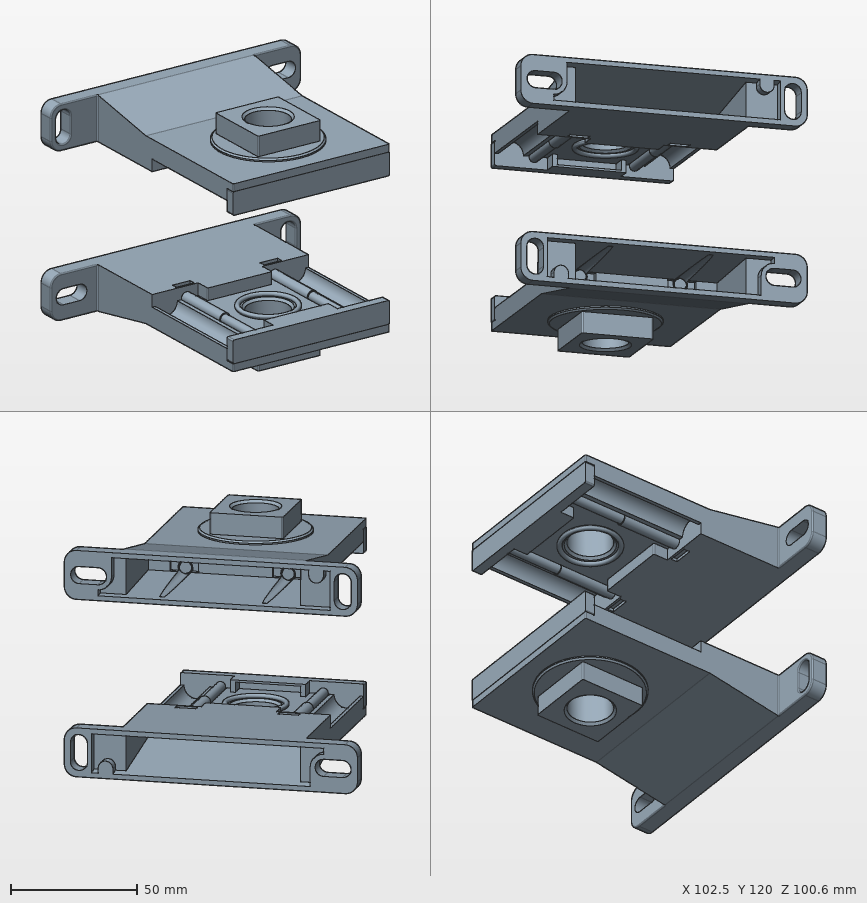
import cadquery as cq
HALF_TURN = 180

PLATE_TOP_Z = 40.2
FLOOR_Z = 31.7
BODY_BOTTOM_Z = 26.3
BOSS_TOP_Z = 50.3

BLEND_RADIUS = 0.5
CORNER_SEARCH = 0.1

FLANGE_LENGTH = 120
FLANGE_HEIGHT = 20.0
FLANGE_THICKNESS = 7.0
FLANGE_CORNER_RADIUS = 5.0
FLANGE_MID_Z = BODY_BOTTOM_Z + FLANGE_HEIGHT / 2
FLANGE_TOP_Z = BODY_BOTTOM_Z + FLANGE_HEIGHT

SLOT_LENGTH = 14.6
SLOT_WIDTH = 7.0
FLAT_SLOT_Y = 50.0
UPRIGHT_SLOT_Y = -54

RECESS_DEPTH = 4.2
RECESS_WALL = 2.0
RECESS_TOP_Z = FLANGE_TOP_Z - RECESS_WALL
RECESS_BOTTOM_Z = BODY_BOTTOM_Z + RECESS_WALL
RECESS_END_Y = -48.8
SLOT_RIM_RADIUS = 5.5
SLOT_END_Y = FLAT_SLOT_Y - (SLOT_LENGTH - SLOT_WIDTH) / 2
KEY_WIDTH = 6
KEY_Y = -43.1
KEY_HEIGHT = 5.2

OVERALL_X = 102.5
BODY_WIDTH = 75.0
WEDGE_END_X = 40.9
DEEP_END_X = 45.4
TONGUE_END_X = 52.1
TONGUE_WIDTH = 30.8

HOLLOW_WIDTH = 71.4
HOLLOW_END_X = 39.6
HOLLOW_END_TOP_Z = 38.4
HOLLOW_END_BOTTOM_Z = 29.9

PIN_SPREAD = 21.0
PIN_Z = 31.3
PIN_DIAMETER = 5.0
PIN_TIP_DIAMETER = 4.1
PIN_STEP_X = 72.4
PIN_CLEARANCE_DIAMETER = 6
PIN_CLEARANCE_DEPTH = 1.2
POCKET_WIDTH = 11.8
POCKET_TOP_Z = 37.5
POCKET_DEPTH = 2.0
POCKET_BOTTOM_Z = 30
POCKET_END_X = HOLLOW_END_X + POCKET_DEPTH
CLIP_SLOT_WIDTH = 8.4
CLIP_SLOT_LENGTH = 2.8
CLIP_SLOT_DEPTH = 1.5

TROUGH_DIAMETER = 10.5
TROUGH_SPREAD = 30.7

CAP_THICKNESS = 4.3
CAP_BOTTOM_Z = 26.6
CAP_TOP_Z = 36.8
CAP_CORNER_RADIUS = 0.6
CAP_START_X = OVERALL_X - CAP_THICKNESS
CAP_BLOCK_LENGTH = 6.4
CAP_LEG_WIDTH = 2.0
CAP_LIP = 0.8

BUSHING_X = 72
BOSS_SIDE = 30
BOSS_CORNER_RADIUS = 0.6
DISC_DIAMETER = 46.0
DISC_TOP_Z = 41.5
DISC_CHAMFER = 0.7
BORE_DIAMETER = 18.6
BORE_CHAMFER = 1.1
LIP_DIAMETER = 26.6
LIP_THICKNESS = 2.2
SHAFT_DIAMETER = LIP_DIAMETER - LIP_THICKNESS
SHAFT_RAISE = 0.6
SHAFT_BOTTOM_Z = FLOOR_Z - SHAFT_RAISE


def box(x_range, y_range, z_range):
    """A block between the given limits."""
    size = [high - low for low, high in (x_range, y_range, z_range)]
    block = cq.Workplane("XY").box(*size, centered=False)
    return block.translate((x_range[0], y_range[0], z_range[0]))


def centred_box(x_range, width, z_range, y=0):
    """A block whose width is centred on y."""
    return box(x_range, (y - width / 2, y + width / 2), z_range)


def rod(diameter, x_start, x_end, y, z):
    """A cylinder along X."""
    face = cq.Workplane("YZ", origin=(x_start, y, z)).circle(diameter / 2)
    return face.extrude(x_end - x_start)


def upright_cylinder(diameter, z_start, z_end):
    """A cylinder along Z on the axis of the bushing."""
    face = cq.Workplane("XY", origin=(BUSHING_X, 0, z_start)).circle(diameter / 2)
    return face.extrude(z_end - z_start)


def make_flange():
    flange = centred_box((0, FLANGE_THICKNESS), FLANGE_LENGTH, (BODY_BOTTOM_Z, FLANGE_TOP_Z))
    flange = flange.edges("|X").fillet(FLANGE_CORNER_RADIUS)
    for y, angle in ((FLAT_SLOT_Y, 0), (UPRIGHT_SLOT_Y, 90)):
        slot = cq.Workplane("YZ", origin=(0, y, FLANGE_MID_Z)).slot2D(SLOT_LENGTH, SLOT_WIDTH, angle)
        flange = flange.cut(slot.extrude(FLANGE_THICKNESS))
    return flange


def make_taper(width, end_x):
    """A hollow from the outer face to end_x, between the sloping ceiling and floor."""
    slopes = (
        cq.Workplane("XZ", origin=(0, width / 2, 0))
        .moveTo(0, RECESS_BOTTOM_Z)
        .lineTo(0, RECESS_TOP_Z)
        .lineTo(HOLLOW_END_X, HOLLOW_END_TOP_Z)
        .lineTo(HOLLOW_END_X, HOLLOW_END_BOTTOM_Z)
        .close()
        .extrude(width)
    )
    return slopes.intersect(centred_box((0, end_x), width, (BODY_BOTTOM_Z, FLANGE_TOP_Z)))


def make_recess():
    """The recess, which bends around the flat slot and leaves a round-ended key."""
    slot_side_y = SLOT_END_Y - SLOT_RIM_RADIUS
    rim_offset = SLOT_RIM_RADIUS * 0.5**0.5
    rim_middle = (SLOT_END_Y - rim_offset, FLANGE_MID_Z - rim_offset)
    recess = (
        cq.Workplane("YZ")
        .moveTo(slot_side_y, RECESS_TOP_Z)
        .lineTo(slot_side_y, FLANGE_MID_Z)
        .threePointArc(rim_middle, (SLOT_END_Y, FLANGE_MID_Z - SLOT_RIM_RADIUS))
        .lineTo(SLOT_END_Y, RECESS_BOTTOM_Z)
        .lineTo(RECESS_END_Y, RECESS_BOTTOM_Z)
        .lineTo(RECESS_END_Y, RECESS_TOP_Z)
        .close()
        .extrude(RECESS_DEPTH)
    )
    key_centre_z = RECESS_TOP_Z - KEY_HEIGHT + KEY_WIDTH / 2
    key = rod(KEY_WIDTH, 0, RECESS_DEPTH, KEY_Y, key_centre_z)
    key = key.union(centred_box((0, RECESS_DEPTH), KEY_WIDTH, (key_centre_z, RECESS_TOP_Z), KEY_Y))
    return recess.cut(key).intersect(make_taper(FLANGE_LENGTH, RECESS_DEPTH))


def make_body():
    """The wedge behind the flange, the plate and the tongue on its underside."""
    body = (
        cq.Workplane("XZ", origin=(0, BODY_WIDTH / 2, 0))
        .moveTo(FLANGE_THICKNESS, BODY_BOTTOM_Z)
        .lineTo(FLANGE_THICKNESS, FLANGE_TOP_Z)
        .lineTo(WEDGE_END_X, PLATE_TOP_Z)
        .lineTo(OVERALL_X, PLATE_TOP_Z)
        .lineTo(OVERALL_X, FLOOR_Z)
        .lineTo(DEEP_END_X, FLOOR_Z)
        .lineTo(DEEP_END_X, BODY_BOTTOM_Z)
        .close()
        .extrude(BODY_WIDTH)
    )
    return body.union(centred_box((DEEP_END_X, TONGUE_END_X), TONGUE_WIDTH, (BODY_BOTTOM_Z, FLOOR_Z)))


def round_upright_corners(housing):
    """Round the upright edges behind the flange, on the tongue and at the far end."""
    for x in (FLANGE_THICKNESS, TONGUE_END_X, OVERALL_X):
        near_x = cq.selectors.BoxSelector(
            (x - CORNER_SEARCH, -BODY_WIDTH, 0), (x + CORNER_SEARCH, BODY_WIDTH, BOSS_TOP_Z)
        )
        housing = housing.edges("|Z").edges(near_x).fillet(BLEND_RADIUS)
    return housing


def make_pin(y):
    shank = rod(PIN_DIAMETER, POCKET_END_X, PIN_STEP_X, y, PIN_Z)
    return shank.union(rod(PIN_TIP_DIAMETER, PIN_STEP_X, CAP_START_X, y, PIN_Z))


def make_pin_space(y):
    """Everything cut from the housing around one pin."""
    pocket = centred_box((HOLLOW_END_X, POCKET_END_X), POCKET_WIDTH, (POCKET_BOTTOM_Z, POCKET_TOP_Z), y)
    clearance = rod(PIN_CLEARANCE_DIAMETER, RECESS_DEPTH, POCKET_END_X + PIN_CLEARANCE_DEPTH, y, PIN_Z)
    clip_slot = centred_box(
        (POCKET_END_X, POCKET_END_X + CLIP_SLOT_LENGTH),
        CLIP_SLOT_WIDTH,
        (BODY_BOTTOM_Z, BODY_BOTTOM_Z + CLIP_SLOT_DEPTH),
        y,
    )
    groove = rod(PIN_DIAMETER, POCKET_END_X, CAP_START_X, y, PIN_Z)
    return pocket.union(clearance).union(clip_slot).union(groove)


def make_housing():
    housing = round_upright_corners(make_flange().union(make_body()))
    housing = housing.cut(make_recess()).cut(make_taper(HOLLOW_WIDTH, HOLLOW_END_X))
    for side in (-1, 1):
        housing = housing.cut(make_pin_space(side * PIN_SPREAD))
        trough = rod(TROUGH_DIAMETER, DEEP_END_X, CAP_START_X, side * TROUGH_SPREAD, FLOOR_Z)
        housing = housing.cut(trough)
    cap_seat = centred_box((CAP_START_X, OVERALL_X), BODY_WIDTH, (CAP_BOTTOM_Z, CAP_TOP_Z))
    shaft_hole = upright_cylinder(SHAFT_DIAMETER, SHAFT_BOTTOM_Z, PLATE_TOP_Z)
    return housing.cut(cap_seat).cut(shaft_hole)


def make_cap():
    """The end plate and the hollow block that it carries on the floor of the housing."""
    plate = centred_box((CAP_START_X, OVERALL_X), BODY_WIDTH, (CAP_BOTTOM_Z, CAP_TOP_Z))
    plate = plate.edges("|X").fillet(CAP_CORNER_RADIUS)
    block_range = (CAP_START_X - CAP_BLOCK_LENGTH, CAP_START_X)
    block = centred_box(block_range, TONGUE_WIDTH, (CAP_BOTTOM_Z, FLOOR_Z))
    opening_width = TONGUE_WIDTH - 2 * CAP_LEG_WIDTH
    opening = centred_box(block_range, opening_width, (CAP_BOTTOM_Z + CAP_LIP, FLOOR_Z))
    return plate.union(block.cut(opening))


def make_bore():
    """The bore through the bushing, flared at both ends."""
    bore_radius = BORE_DIAMETER / 2
    mouth_radius = bore_radius + BORE_CHAMFER
    profile = (
        cq.Workplane("XZ", origin=(BUSHING_X, 0, 0))
        .moveTo(0, SHAFT_BOTTOM_Z)
        .lineTo(mouth_radius, SHAFT_BOTTOM_Z)
        .lineTo(bore_radius, SHAFT_BOTTOM_Z + BORE_CHAMFER)
        .lineTo(bore_radius, BOSS_TOP_Z - BORE_CHAMFER)
        .lineTo(mouth_radius, BOSS_TOP_Z)
        .lineTo(0, BOSS_TOP_Z)
        .close()
    )
    return profile.revolve(360, (0, 0, 0), (0, 1, 0))


def make_bushing():
    """The square boss, its disc and the shaft whose rounded lip rests on the housing floor."""
    boss = cq.Workplane("XY", origin=(BUSHING_X, 0, DISC_TOP_Z)).rect(BOSS_SIDE, BOSS_SIDE)
    boss = boss.extrude(BOSS_TOP_Z - DISC_TOP_Z).edges("|Z").fillet(BOSS_CORNER_RADIUS)
    disc = upright_cylinder(DISC_DIAMETER, PLATE_TOP_Z, DISC_TOP_Z).faces(">Z").edges().chamfer(DISC_CHAMFER)
    shaft = upright_cylinder(SHAFT_DIAMETER, SHAFT_BOTTOM_Z, PLATE_TOP_Z)
    lip = cq.Workplane(
        cq.Solid.makeTorus(
            SHAFT_DIAMETER / 2,
            LIP_THICKNESS / 2,
            cq.Vector(BUSHING_X, 0, FLOOR_Z - LIP_THICKNESS / 2),
        )
    )
    return boss.union(disc).union(shaft).union(lip).cut(make_bore())


housing = make_housing()
cap = make_cap()
bushing = make_bushing()
pins = [make_pin(side * PIN_SPREAD) for side in (-1, 1)]

upper_half = [part.val() for part in (housing, cap, bushing, *pins)]
lower_half = [solid.rotate((0, 0, 0), (1, 0, 0), HALF_TURN) for solid in upper_half]

result = cq.Compound.makeCompound([*upper_half, *lower_half])